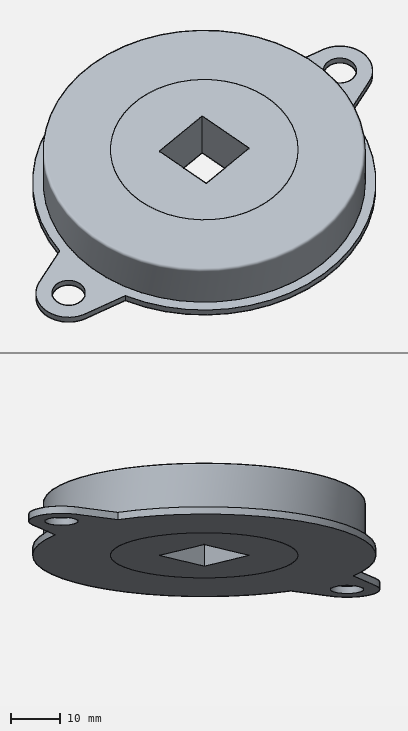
import cadquery as cq
import math

total_height = 11.3
flange_diameter = 69.7
flange_thickness = 1.5
drum_diameter = 65.4
drum_edge_radius = 0.6

overall_length = 94.95
ear_tip_radius = 6.6
ear_hole_diameter = 6.7
ear_hole_offset = overall_length / 2 - ear_tip_radius
ear_root_half_width = 9.0
ear_root_offset = math.sqrt((flange_diameter / 2) ** 2 - ear_root_half_width ** 2)

rotor_diameter = 38.1
drive_square = 12.9


def make_ear():
    """Tapered ear on the +Y side, its sides tangent to the rounded tip."""
    root_drop = ear_hole_offset - ear_root_offset
    root_distance = math.hypot(ear_root_half_width, root_drop)
    root_angle = math.atan2(-root_drop, ear_root_half_width)
    tangent_angle = root_angle + math.acos(ear_tip_radius / root_distance)
    tangent_x = ear_tip_radius * math.cos(tangent_angle)
    tangent_y = ear_hole_offset + ear_tip_radius * math.sin(tangent_angle)
    return (
        cq.Workplane("XY")
        .moveTo(0, 0)
        .lineTo(ear_root_half_width, ear_root_offset)
        .lineTo(tangent_x, tangent_y)
        .threePointArc((0, overall_length / 2), (-tangent_x, tangent_y))
        .lineTo(-ear_root_half_width, ear_root_offset)
        .close()
        .extrude(flange_thickness)
    )


def make_housing():
    """Flange with two ears, drum, and a through bore for the rotor."""
    flange = cq.Workplane("XY").circle(flange_diameter / 2).extrude(flange_thickness)
    for turn in (0, 180):
        flange = flange.union(make_ear().rotate((0, 0, 0), (0, 0, 1), turn))
    drum = (
        cq.Workplane("XY")
        .circle(drum_diameter / 2)
        .extrude(total_height)
        .faces(">Z")
        .edges()
        .fillet(drum_edge_radius)
    )
    rotor_bore = cq.Workplane("XY").circle(rotor_diameter / 2).extrude(total_height)
    ear_holes = (
        cq.Workplane("XY")
        .pushPoints([(0, ear_hole_offset), (0, -ear_hole_offset)])
        .circle(ear_hole_diameter / 2)
        .extrude(flange_thickness)
    )
    return flange.union(drum).cut(rotor_bore).cut(ear_holes)


def make_rotor():
    """Hub filling the bore, with a square hole right through it."""
    return (
        cq.Workplane("XY")
        .circle(rotor_diameter / 2)
        .rect(drive_square, drive_square)
        .extrude(total_height)
    )


housing = make_housing()
rotor = make_rotor()
result = cq.Compound.makeCompound([housing.val(), rotor.val()])